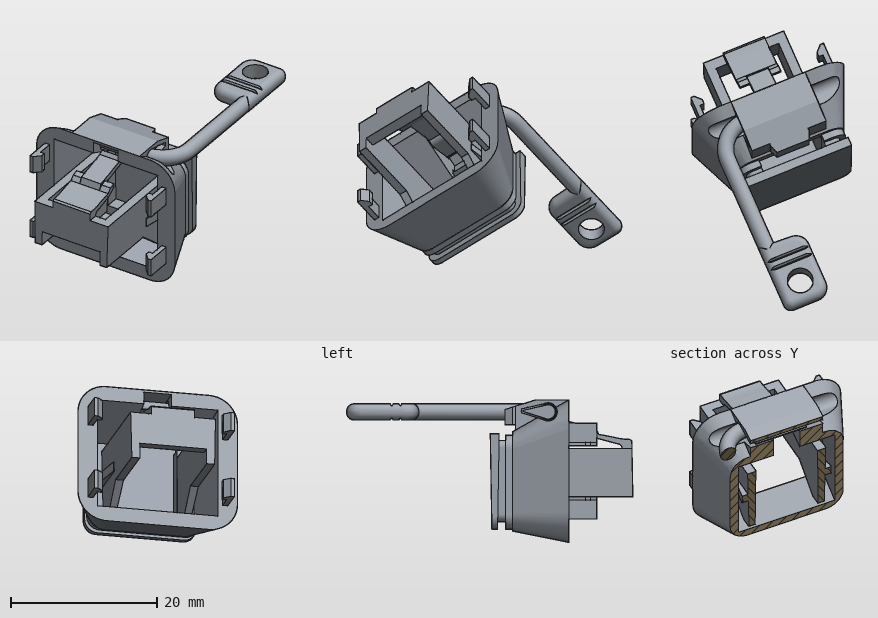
import cadquery as cq
import math


flange_width = 22.5
flange_height = 19.5
flange_corner = 4.0
flange_top = flange_height / 2
housing_depth = 7.7
rear_half_width = 8.0
rear_top = 5.4
rear_bottom = -8.2
rear_corner = 2.4

mouth_half_width = 8.45
mouth_half_height = 7.7
throat_half_width = 7.0
throat_top = 4.29
throat_bottom = -7.25

hood_half_width = 5.5
hood_rear = 7.34
hood_floor = 4.6
roof_break = 4.56
tongue_rear = 8.77
tongue_rear_top = 8.42
tongue_bottom = 6.32
tongue_taper_start = 7.7
tongue_half_width = 2.85
tongue_tip_half_width = 2.38
roof_slope = (flange_top - tongue_rear_top) / (tongue_rear - roof_break)

finger_slot_half_width = 1.97
finger_slot_top = 9.4
finger_slot_rear_top = 7.6

clip_outer = 9.85
clip_thickness = 0.73
clip_reach = 3.82
clip_hook_start = 2.29
clip_hook_flat_end = 2.95
clip_hook_inner = 8.5
clip_tip = 9.35
clip_height = 2.62
clip_level_left = 5.25
clip_level_right = 4.78

strap_radius = 1.12
pivot_y = 2.85
pivot_z = 8.1
pivot_hole_radius = 1.22
pivot_bar_radius = 0.97
pivot_bar_end = -3.0
teardrop_length = 3.65
teardrop_apex = 4.6
teardrop_tilt = 0.04
pivot_bar_length = 3.4
pivot_bar_apex = 3.65
strap_x = 8.96
bend_end_y = 7.14
bend_radius = bend_end_y - pivot_y
bend_start_x = strap_x - bend_radius

paddle_left = 3.49
paddle_right = strap_x + strap_radius
paddle_end = 30.39
paddle_start = 20.69
paddle_start_inner = 20.45
paddle_corner = 1.9
paddle_end_corner = 1.08
paddle_rounding = 1.04
paddle_hole_diameter = 3.54
paddle_hole_x = 6.74
paddle_hole_y = 27.2
grip_groove_half_width = 0.24
grip_groove_depth = 0.3
grip_groove_ys = (23.04, 24.22)
grip_groove_left = 3.79
grip_groove_right = 9.85

plug_half_width = 5.97
plug_wall = 1.33
plug_inner_half_width = plug_half_width - plug_wall
plug_foot_half_width = 5.75
plug_foot_wall = 1.0
plug_foot_inner_half_width = plug_foot_half_width - plug_foot_wall
plug_top = 3.11
plug_front_top = -8.62
plug_front_bottom = -8.74
plug_wall_bottom = -3.5
front_slope = (plug_front_top - plug_front_bottom) / (plug_top - plug_wall_bottom)
front_wall_inner = -7.23
front_wall_bottom = -1.35
rail_ramp_start = 0.45
rail_ramp_end = 4.6
gusset_start = 1.05
rail_rear_bottom = -6.94
gusset_top = -0.75
gusset_bottom = -2.07

collar_half_width = 7.85
collar_top = 4.92
collar_bottom = -7.96
collar_corner = 1.9
collar_rear = 8.67
neck_half_width = 6.9
neck_top = 4.21
neck_bottom = -6.92
neck_corner = 1.0
plate_top = 5.14
plate_front = 9.53
plate_front_bottom = 9.76
plate_rear = 10.77
plate_rear_bottom = 10.55
plate_corner = 1.75
channel_bottom = -5.95

latch_half_width = 3.03
latch_front_top = 4.15
latch_front = (plug_front_top + (latch_front_top - plug_top) * front_slope, latch_front_top)
latch_nose = (-8.3, 4.36)
latch_sweep = (-7.2, 4.43)
latch_bend = (-6.06, 4.67)
latch_step_foot = (-4.08, 5.04)
latch_step_top = (-3.46, 5.62)
latch_shelf_rear = (-2.64, 5.88)
latch_shelf_under = (-2.64, 5.3)
latch_under_bend = (-3.94, 4.45)
latch_root = (-6.9, 3.66)
latch_root_curve = (-7.13, 3.46)
finger_half_width = 1.6
finger_front = (-3.65, 5.88)
finger_rise = (1.0, 7.05)
finger_tip = (1.5, 7.5)
finger_tip_under = (1.5, 6.5)


def box(x0, x1, y0, y1, z0, z1):
    """Axis-aligned block between two corners."""
    return cq.Workplane("XY").box(x1 - x0, y1 - y0, z1 - z0, centered=False).translate((x0, y0, z0))


def side_profile(points, x0, x1):
    """Prism with a (y, z) outline running from x0 to x1."""
    return cq.Workplane("YZ").polyline(points).close().extrude(x1 - x0).translate((x0, 0, 0))


def rounded_bar(half_width, bottom, top, corner, y0, y1):
    """Bar along Y whose section is a rounded rectangle centred on X = 0."""
    bar = box(-half_width, half_width, y0, y1, bottom, top)
    return bar.edges("|Y").fillet(corner)


def section(depth, half_width, bottom, top, corner=0):
    """Rectangular cross-section of the housing at a depth, with optional rounded corners."""
    sketch = cq.Sketch().rect(2 * half_width, top - bottom)
    if corner:
        sketch = sketch.vertices().fillet(corner)
    return sketch.moved(cq.Location(cq.Vector(0, (top + bottom) / 2, -depth)))


def funnel(front, rear):
    """Straight-sided solid between two sections."""
    return cq.Workplane("XZ").placeSketch(front, rear).loft(ruled=True)


def teardrop_bar(radius, length, apex, x0, x1):
    """Bar along X with a teardrop section: round nose at the pivot, blunt tail to the rear.

    The flanks are tangent to the nose and aim at a point `apex` behind the pivot;
    the tail is cut off flat at `length`.
    """
    rise = apex * teardrop_tilt
    tip_angle = math.atan(teardrop_tilt)
    spread = math.acos(radius / math.hypot(apex, rise))

    def on_nose(angle):
        return (pivot_y + radius * math.cos(angle), pivot_z + radius * math.sin(angle))

    def on_tail(start):
        y, z = start
        part = (pivot_y + length - y) / (pivot_y + apex - y)
        return (pivot_y + length, z + part * (pivot_z + rise - z))

    top_tangent = on_nose(tip_angle + spread)
    bottom_tangent = on_nose(tip_angle - spread)
    return (
        cq.Workplane("YZ")
        .moveTo(*on_tail(top_tangent))
        .lineTo(*top_tangent)
        .threePointArc(on_nose(tip_angle + math.pi), bottom_tangent)
        .lineTo(*on_tail(bottom_tangent))
        .close()
        .extrude(x1 - x0)
        .translate((x0, 0, 0))
    )


def roof_z(y):
    """Height of the sloping hood roof at depth y."""
    return flange_top - roof_slope * (y - roof_break)


def make_rod():
    """Round rod that leaves the pivot along +X, bends, and runs back along +Y into the paddle."""
    half_turn = bend_radius * math.sqrt(0.5)
    path = (
        cq.Workplane("XY", origin=(0, 0, pivot_z))
        .moveTo(bend_start_x, pivot_y)
        .threePointArc((bend_start_x + half_turn, bend_end_y - half_turn), (strap_x, bend_end_y))
        .lineTo(strap_x, paddle_start + paddle_rounding + strap_radius)
    )
    section_plane = cq.Workplane("YZ", origin=(bend_start_x, pivot_y, pivot_z))
    return section_plane.circle(strap_radius).sweep(path)


def make_hood():
    """Raised block on top of the cone, with a tapered tongue over the rear."""
    block = side_profile(
        [(0, hood_floor), (0, flange_top), (roof_break, flange_top),
         (hood_rear, roof_z(hood_rear)), (hood_rear, hood_floor)],
        -hood_half_width, hood_half_width)
    tongue_side = side_profile(
        [(roof_break, tongue_bottom), (roof_break, flange_top),
         (tongue_rear, tongue_rear_top), (tongue_rear, tongue_bottom)],
        -tongue_half_width, tongue_half_width)
    tongue_plan = (
        cq.Workplane("XY")
        .polyline([(-tongue_half_width, roof_break), (-tongue_half_width, tongue_taper_start),
                   (-tongue_tip_half_width, tongue_rear), (tongue_tip_half_width, tongue_rear),
                   (tongue_half_width, tongue_taper_start), (tongue_half_width, roof_break)])
        .close()
        .extrude(flange_top)
    )
    return block.union(tongue_side.intersect(tongue_plan))


def make_clip(side, level):
    """Snap hook in front of the flange; side is -1 for left, 1 for right."""
    outline = [(clip_outer, 0), (clip_outer, -clip_reach), (clip_tip, -clip_reach),
               (clip_hook_inner, -clip_hook_flat_end), (clip_hook_inner, -clip_hook_start),
               (clip_outer - clip_thickness, -clip_hook_start), (clip_outer - clip_thickness, 0)]
    hook = cq.Workplane("XY").polyline([(side * x, y) for x, y in outline]).close()
    return hook.extrude(clip_height).translate((0, 0, level - clip_height / 2))


def make_housing():
    shell = funnel(
        section(0, flange_width / 2, -flange_top, flange_top, flange_corner),
        section(housing_depth, rear_half_width, rear_bottom, rear_top, rear_corner))
    cavity = funnel(
        section(0, mouth_half_width, -mouth_half_height, mouth_half_height),
        section(housing_depth, throat_half_width, throat_bottom, throat_top))
    finger_slot = side_profile(
        [(0, throat_top), (0, finger_slot_top), (roof_break, finger_slot_top),
         (housing_depth, finger_slot_rear_top), (housing_depth, throat_top)],
        -finger_slot_half_width, finger_slot_half_width)
    pivot_hole = teardrop_bar(pivot_hole_radius, teardrop_length, teardrop_apex,
                              -flange_width / 2, flange_width / 2)
    body = shell.union(make_hood()).cut(cavity).cut(finger_slot).cut(pivot_hole).cut(make_rod())
    for side, level in ((-1, clip_level_left), (1, clip_level_right)):
        for direction in (-1, 1):
            body = body.union(make_clip(side, direction * level))
    return body


def make_paddle():
    """Rounded finger grip at the end of the strap, with a hole and two grooves per face."""
    paddle = (
        cq.Workplane("XY")
        .polyline([(paddle_left, paddle_start), (strap_x, paddle_start_inner),
                   (paddle_right, paddle_start_inner), (paddle_right, paddle_end),
                   (paddle_left, paddle_end)])
        .close()
        .extrude(2 * strap_radius)
        .translate((0, 0, pivot_z - strap_radius))
    )
    paddle = paddle.edges("|Z and <X").fillet(paddle_corner)
    paddle = paddle.edges("|Z and >Y and >X").fillet(paddle_end_corner)
    paddle = paddle.faces("<Z or >Z").edges().fillet(paddle_rounding)
    hole = (
        cq.Workplane("XY", origin=(paddle_hole_x, paddle_hole_y, pivot_z - strap_radius))
        .circle(paddle_hole_diameter / 2)
        .extrude(2 * strap_radius)
    )
    paddle = paddle.cut(hole)
    for y in grip_groove_ys:
        for face in (-1, 1):
            surface = pivot_z + face * strap_radius
            groove = side_profile(
                [(y - grip_groove_half_width, surface),
                 (y, surface - face * grip_groove_depth),
                 (y + grip_groove_half_width, surface)],
                grip_groove_left, grip_groove_right)
            paddle = paddle.cut(groove)
    return paddle


def make_strap():
    bar = teardrop_bar(pivot_bar_radius, pivot_bar_length, pivot_bar_apex,
                       pivot_bar_end, bend_start_x)
    return make_rod().union(bar).union(make_paddle())


def drafted_block(top_half_width, foot_half_width, y0, y1):
    """Block as tall as the plug whose sides lean from the top width to the foot width."""
    outline = [(-top_half_width, plug_top), (top_half_width, plug_top),
               (foot_half_width, rail_rear_bottom), (-foot_half_width, rail_rear_bottom)]
    block = cq.Workplane("XZ").polyline(outline).close().extrude(y0 - y1)
    return block.translate((0, y0, 0))


def make_plug_shell():
    """Two side walls, the front wall between them and the ramped rails underneath."""
    side_outline = [
        (plug_front_top, plug_top), (plug_front_bottom, plug_wall_bottom),
        (rail_ramp_start, plug_wall_bottom), (rail_ramp_end, rail_rear_bottom),
        (collar_rear, rail_rear_bottom), (collar_rear, plug_top)]
    shell = side_profile(side_outline, -plug_half_width, plug_half_width)
    envelope = drafted_block(plug_half_width, plug_foot_half_width, plug_front_bottom, collar_rear)
    inside = drafted_block(plug_inner_half_width, plug_foot_inner_half_width, plug_front_bottom, collar_rear)
    front_wall = box(-plug_half_width, plug_half_width,
                     plug_front_bottom, front_wall_inner, front_wall_bottom, plug_top)
    return shell.intersect(envelope).cut(inside.cut(front_wall))


def make_gusset(side):
    """Wedge bracing a side wall against the collar."""
    root = plug_foot_half_width - plug_foot_wall / 2
    outline = [(root, gusset_start), (plug_half_width, gusset_start),
               (throat_half_width, housing_depth), (root, housing_depth)]
    wedge = cq.Workplane("XY").polyline([(side * x, y) for x, y in outline]).close()
    return wedge.extrude(gusset_top - gusset_bottom).translate((0, 0, gusset_bottom))


def make_rear():
    """Collar, neck and cover plate behind the housing, with the open channel cut through."""
    collar = rounded_bar(collar_half_width, collar_bottom, collar_top, collar_corner,
                         housing_depth, collar_rear)
    neck = rounded_bar(neck_half_width, neck_bottom, neck_top, neck_corner,
                       collar_rear, plate_front_bottom)
    channel = box(-plug_inner_half_width, plug_inner_half_width,
                  housing_depth, plate_front_bottom, channel_bottom, collar_top)
    plate = side_profile(
        [(plate_front, plate_top), (plate_rear, plate_top),
         (plate_rear_bottom, collar_bottom), (plate_front_bottom, collar_bottom)],
        -collar_half_width, collar_half_width)
    corner_mask = box(-collar_half_width, collar_half_width,
                      plate_front, plate_rear, collar_bottom, plate_top)
    corner_mask = corner_mask.edges("|Y and <Z").fillet(plate_corner)
    return collar.union(neck).cut(channel).union(plate.intersect(corner_mask))


def make_latch():
    """Springy latch rising from the front wall, with a narrow finger reaching under the hood."""
    latch = (
        cq.Workplane("YZ")
        .moveTo(plug_front_top, plug_top)
        .lineTo(*latch_front)
        .lineTo(*latch_nose)
        .threePointArc(latch_sweep, latch_bend)
        .lineTo(*latch_step_foot)
        .lineTo(*latch_step_top)
        .lineTo(*latch_shelf_rear)
        .lineTo(*latch_shelf_under)
        .lineTo(*latch_under_bend)
        .lineTo(*latch_root)
        .threePointArc(latch_root_curve, (front_wall_inner, plug_top))
        .close()
        .extrude(2 * latch_half_width)
        .translate((-latch_half_width, 0, 0))
    )
    finger = side_profile(
        [latch_step_foot, finger_front, finger_rise, finger_tip, finger_tip_under, latch_shelf_under],
        -finger_half_width, finger_half_width)
    return latch.union(finger)


def make_plug():
    body = make_plug_shell().union(make_rear()).union(make_latch())
    for side in (-1, 1):
        body = body.union(make_gusset(side))
    return body


housing = make_housing()
plug = make_plug()
strap = make_strap()

result = cq.Compound.makeCompound([housing.val(), plug.val(), strap.val()])